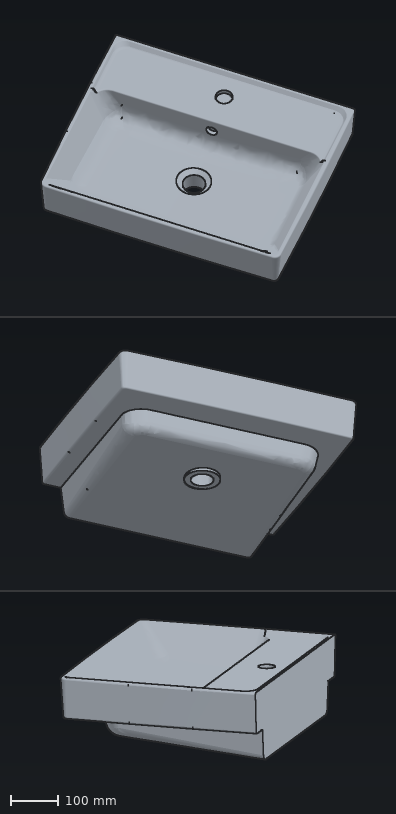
import cadquery as cq
import math

WIDTH = 550.0
DEPTH = 440.0
HEIGHT = 161.0

TRAY_HEIGHT = 91.5
TRAY_DRAFT = 4.0
TRAY_BOW = 3.0
TRAY_CORNER_RADIUS = 16.0
TRAY_EDGE_RADIUS = 5.0
TRAY_OVERRUN = 16.5

RIM_WIDTH = 10.0
SIDE_SLOPE = 28.5
RIM_INNER_RADIUS = 2.0

DECK_DROP = 11.5
DECK_BACK = 6.0
DECK_BACK_SLOPE = 40.0
DECK_CORNER_RADIUS = 27.5
DECK_FLOOR_RADIUS = 8.0
DECK_END = 134.5
DECK_LIP_RADIUS = 4.0
RECESS_OVERLAP = 17.5
RECESS_OPENING = 5.5

BOWL_DEPTH = 97.0
BOWL_BACK_SLOPE = 1.0
BOWL_FRONT_SLOPE = 33.0
BOWL_BACK_CORNER_RADIUS = 27.5
BOWL_FRONT_CORNER_RADIUS = 8.0
BOWL_LOW_CORNER_RADIUS = 49.5
FLOOR_RISE = 22.0
FLOOR_TILT = 1.8
BOWL_FLOOR_RADIUS = 41.0

BASE_HALF_WIDTH = 224.5
BASE_DRAFT = 7.0
BASE_LENGTH = 368.5
BASE_TILT = 4.3
BASE_FRONT_DRAFT = 17.0
BASE_FRONT_CORNER_RADIUS = 49.5
BASE_SIDE_MARGIN = 1.5
BASE_BACK_EDGE_RADIUS = 14.0
BASE_FRONT_EDGE_RADIUS = 33.0
BASE_NOSE_RADIUS = 27.5

DRAIN_Y = -235.0
DRAIN_RADIUS = 24.0
DRAIN_CONE_RADIUS = 37.0
DRAIN_CONE_DEPTH = 10.5
DRAIN_CONE_OVERRUN = 5.5
DRAIN_FLANGE_RADIUS = 38.5
DRAIN_FLANGE_BOTTOM = 148.0
TAP_Y = -64.0
TAP_RADIUS = 18.0
TAP_DEPTH = 10.5
OVERFLOW_DROP = 44.0
OVERFLOW_RADIUS = 12.0
OVERFLOW_DEPTH = 10.5

CLEARANCE = 16.5
HIDDEN_RADIUS = 5.5
PICK = 0.5


def tan(angle):
    return math.tan(math.radians(angle))


def inner_half_width(z):
    """Half the distance between the inner side walls at height z."""
    return WIDTH / 2 - RIM_WIDTH + z * tan(SIDE_SLOPE)


def bowl_back(z):
    """Y of the wall between deck and bowl at height z."""
    return -DECK_END + (z + DECK_DROP) * tan(BOWL_BACK_SLOPE)


def rounded_outline(half_width, back, front, back_radius, front_radius, z):
    """Closed rectangle at height z with separate corner radii at the back and front."""
    back_inset = back_radius * (1 - math.sqrt(0.5))
    front_inset = front_radius * (1 - math.sqrt(0.5))
    return (
        cq.Workplane("XY", origin=(0, 0, z))
        .moveTo(half_width - back_radius, back)
        .threePointArc((half_width - back_inset, back - back_inset), (half_width, back - back_radius))
        .lineTo(half_width, front + front_radius)
        .threePointArc((half_width - front_inset, front + front_inset), (half_width - front_radius, front))
        .lineTo(front_radius - half_width, front)
        .threePointArc((front_inset - half_width, front + front_inset), (-half_width, front + front_radius))
        .lineTo(-half_width, back - back_radius)
        .threePointArc((back_inset - half_width, back - back_inset), (back_radius - half_width, back))
        .close()
        .val()
    )


def ruled_solid(first, last):
    return cq.Workplane(cq.Solid.makeLoft([first, last], True))


def vertical_cylinder(radius, y, top, bottom):
    return cq.Workplane("XY", origin=(0, y, bottom)).circle(radius).extrude(top - bottom)


def tray():
    """Solid upper block with a flat back, before the deck and bowl are hollowed out."""
    trimmed = TRAY_EDGE_RADIUS * (1 - math.sin(math.radians(TRAY_DRAFT))) * tan(TRAY_DRAFT)
    side_x = WIDTH / 2 + trimmed
    front_y = -DEPTH - trimmed
    corner_x = side_x - TRAY_BOW
    corner_y = front_y + TRAY_BOW
    widest_y = (TRAY_OVERRUN + corner_y) / 2
    outline = (
        cq.Workplane("XY")
        .moveTo(corner_x, TRAY_OVERRUN)
        .threePointArc((side_x, widest_y), (corner_x, corner_y))
        .threePointArc((0, front_y), (-corner_x, corner_y))
        .threePointArc((-side_x, widest_y), (-corner_x, TRAY_OVERRUN))
        .close()
        .val()
    )
    front_corners = [vertex for vertex in outline.Vertices() if vertex.Y < 0]
    outline = outline.fillet2D(TRAY_CORNER_RADIUS, front_corners)
    block = cq.Workplane("XY").add(outline).toPending().extrude(-TRAY_HEIGHT, taper=TRAY_DRAFT)
    behind_wall = cq.Workplane("XY").box(2 * WIDTH, DEPTH, 2 * HEIGHT).translate((0, DEPTH / 2, 0))
    return block.cut(behind_wall).faces("|Z").edges("not(>Y)").fillet(TRAY_EDGE_RADIUS)


def base_section(y, edge_radius):
    """Cross-section of the lower body at y, with its two lower edges rounded."""
    top = CLEARANCE - TRAY_HEIGHT
    bottom = -HEIGHT - y * tan(BASE_TILT)
    top_half = BASE_HALF_WIDTH + CLEARANCE * tan(BASE_DRAFT)
    bottom_half = top_half - (top - bottom) * tan(BASE_DRAFT)
    draft = math.radians(BASE_DRAFT)
    setback = edge_radius * tan((90 - BASE_DRAFT) / 2)
    side_x = bottom_half + setback * math.sin(draft)
    side_z = bottom + setback * math.cos(draft)
    foot_x = bottom_half - setback
    middle_angle = math.radians((90 + BASE_DRAFT) / 2)
    middle_x = foot_x + edge_radius * math.cos(middle_angle)
    middle_z = bottom + edge_radius * (1 - math.sin(middle_angle))
    return (
        cq.Workplane("XZ", origin=(0, y, 0))
        .moveTo(top_half, top)
        .lineTo(side_x, side_z)
        .threePointArc((middle_x, middle_z), (foot_x, bottom))
        .lineTo(-foot_x, bottom)
        .threePointArc((-middle_x, middle_z), (-side_x, side_z))
        .lineTo(-top_half, top)
        .close()
        .val()
    )


def base():
    """Lower body, from inside the tray down to the tilted underside."""
    sides = ruled_solid(
        base_section(0, BASE_BACK_EDGE_RADIUS),
        base_section(-DEPTH, BASE_FRONT_EDGE_RADIUS),
    )

    def front_outline(z):
        reach = z + TRAY_HEIGHT
        half_width = BASE_HALF_WIDTH + BASE_SIDE_MARGIN + reach * tan(BASE_DRAFT)
        front = -BASE_LENGTH - reach * tan(BASE_FRONT_DRAFT)
        return rounded_outline(half_width, CLEARANCE, front, HIDDEN_RADIUS, BASE_FRONT_CORNER_RADIUS, z)

    solid = sides.intersect(ruled_solid(front_outline(CLEARANCE - TRAY_HEIGHT), front_outline(-HEIGHT)))
    nose = cq.selectors.BoxSelector((-5.5, -BASE_LENGTH, -HEIGHT), (5.5, -BASE_LENGTH / 2, -TRAY_HEIGHT))
    return solid.edges(nose).fillet(BASE_NOSE_RADIUS)


def deck_recess():
    """Shallow space over the tap deck, ending a little inside the bowl."""

    def level(z):
        back = -DECK_BACK + z * tan(DECK_BACK_SLOPE)
        return rounded_outline(inner_half_width(z), back, -DEPTH / 2, DECK_CORNER_RADIUS, HIDDEN_RADIUS, z)

    end = -DECK_END - RECESS_OVERLAP
    in_front = cq.Workplane("XY").box(2 * WIDTH, DEPTH, 2 * HEIGHT).translate((0, end - DEPTH / 2, 0))
    recess = ruled_solid(level(RECESS_OPENING), level(-DECK_DROP)).cut(in_front)
    return recess.faces("<Z").edges("not(<Y)").fillet(DECK_FLOOR_RADIUS)


def bowl():
    """Space inside the bowl, open upwards."""

    def level(z, back_radius, front_radius):
        front = -DEPTH + RIM_WIDTH - z * tan(BOWL_FRONT_SLOPE)
        return rounded_outline(inner_half_width(z), bowl_back(z), front, back_radius, front_radius, z)

    funnel = ruled_solid(
        level(CLEARANCE, BOWL_BACK_CORNER_RADIUS, BOWL_FRONT_CORNER_RADIUS),
        level(-BOWL_DEPTH - CLEARANCE, BOWL_LOW_CORNER_RADIUS, BOWL_LOW_CORNER_RADIUS),
    )
    edge_z = FLOOR_RISE - BOWL_DEPTH
    trough = (
        cq.Workplane("XZ", origin=(0, DRAIN_Y, 0))
        .moveTo(-WIDTH / 2, edge_z)
        .threePointArc((0, -BOWL_DEPTH), (WIDTH / 2, edge_z))
        .lineTo(WIDTH / 2, HEIGHT)
        .lineTo(-WIDTH / 2, HEIGHT)
        .close()
        .extrude(DEPTH, both=True)
        .rotate((0, DRAIN_Y, -BOWL_DEPTH), (1, DRAIN_Y, -BOWL_DEPTH), -FLOOR_TILT)
    )
    return funnel.intersect(trough).faces("<Z").edges().fillet(BOWL_FLOOR_RADIUS)


def round_upper_edges(solid):
    """Round the lip between deck and bowl, then the inner edge of the rim."""
    lip = cq.selectors.BoxSelector(
        (-WIDTH / 2, -DECK_END - RECESS_OVERLAP, -DECK_DROP - PICK),
        (WIDTH / 2, -DECK_END + PICK, -DECK_DROP + PICK),
    )
    solid = solid.edges(lip).fillet(DECK_LIP_RADIUS)
    rim_x = inner_half_width(0) + PICK
    rim = cq.selectors.BoxSelector(
        (-rim_x, -DEPTH + RIM_WIDTH - PICK, -PICK),
        (rim_x, -DECK_BACK + PICK, PICK),
    )
    return solid.edges(rim).fillet(RIM_INNER_RADIUS)


def drain_hole():
    """Through hole with a conical seat at the bowl floor."""
    cone_bottom = -BOWL_DEPTH - DRAIN_CONE_DEPTH
    growth = (DRAIN_CONE_RADIUS - DRAIN_RADIUS) / DRAIN_CONE_DEPTH
    cone_height = DRAIN_CONE_DEPTH + DRAIN_CONE_OVERRUN
    cone = cq.Solid.makeCone(
        DRAIN_RADIUS, DRAIN_RADIUS + growth * cone_height, cone_height, cq.Vector(0, DRAIN_Y, cone_bottom)
    )
    return vertical_cylinder(DRAIN_RADIUS, DRAIN_Y, 0, -HEIGHT).union(cq.Workplane(cone))


def overflow_hole():
    """Blind round hole in the wall between deck and bowl."""
    blind_end = bowl_back(-OVERFLOW_DROP) + OVERFLOW_DEPTH
    start = cq.Workplane("XZ", origin=(0, blind_end, -OVERFLOW_DROP))
    return start.circle(OVERFLOW_RADIUS).extrude(2 * OVERFLOW_DEPTH)


flange_top = -BOWL_DEPTH - CLEARANCE
flange = vertical_cylinder(DRAIN_FLANGE_RADIUS, DRAIN_Y, flange_top, -DRAIN_FLANGE_BOTTOM)
tap_hole = vertical_cylinder(TAP_RADIUS, TAP_Y, 0, -DECK_DROP - TAP_DEPTH)

result = tray().union(base()).cut(deck_recess()).cut(bowl())
result = round_upper_edges(result).union(flange)
result = result.cut(drain_hole()).cut(overflow_hole()).cut(tap_hole)